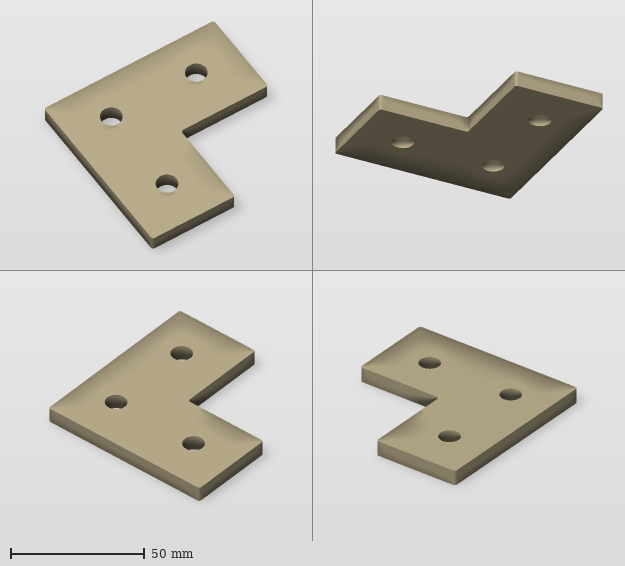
import cadquery as cq

length_x = 74.2
length_y = 76.2
thickness = 6.3

arm_width = 37.1
corner_radius = 1.0

hole_diameter = 8.5
hole_spacing = 38.1
hole_end_margin = 19.05
elbow_x = length_x - hole_end_margin - hole_spacing
elbow_y = length_y - hole_end_margin - hole_spacing
hole_centers = [
    (elbow_x, elbow_y),
    (elbow_x + hole_spacing, elbow_y),
    (elbow_x, elbow_y + hole_spacing),
]


def make_plate():
    """L-shaped plate with its outer elbow at the origin and all upright edges rounded."""
    outline = [
        (0, 0),
        (length_x, 0),
        (length_x, arm_width),
        (arm_width, arm_width),
        (arm_width, length_y),
        (0, length_y),
    ]
    plate = cq.Workplane("XY").polyline(outline).close().extrude(thickness)
    return plate.edges("|Z").fillet(corner_radius)


def make_holes():
    """Cylinders that cut the holes through the full thickness."""
    return cq.Workplane("XY").pushPoints(hole_centers).circle(hole_diameter / 2).extrude(thickness)


result = make_plate().cut(make_holes())